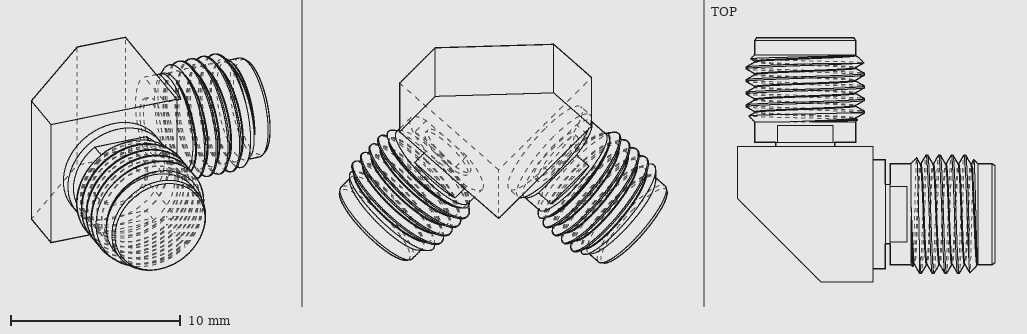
import cadquery as cq
import math


block_side = 8.0
corner_cut = 4.93
half_block = block_side / 2

flange_diameter = 6.44
flange_length = 0.71
neck_diameter = 3.5
neck_length_x = 0.29
neck_length_y = 0.23

barrel_diameter = 5.97
barrel_length = 6.18
barrel_radius = barrel_diameter / 2
mouth_chamfer_length = 0.18
mouth_chamfer_depth = 0.12
flat_length = 1.0
across_flats = 5.0

thread_diameter = 7.0
thread_pitch = 0.75
thread_start = 1.21
thread_length = 3.95
crest_width = thread_pitch / 8
flank_angle = 30
first_crest = 0.2
thread_radius = thread_diameter / 2
thread_height = thread_radius - barrel_radius


def cylinder(diameter, length, start=0):
    """Solid cylinder standing on the Z axis."""
    return cq.Workplane("XY").workplane(offset=start).circle(diameter / 2).extrude(length)


def make_helical_ridge():
    """Thread ridge wound around Z, overrunning both ends of the thread."""
    sink = 0.03
    foot_radius = barrel_radius - sink
    half_crest = crest_width / 2
    half_foot = half_crest + (thread_height + sink) * math.tan(math.radians(flank_angle))
    overrun_turns = 2
    ridge_start = thread_start + first_crest - overrun_turns * thread_pitch
    turns = math.ceil(thread_length / thread_pitch) + overrun_turns
    helix_base = cq.Vector(0, 0, ridge_start)
    helix = cq.Wire.makeHelix(thread_pitch, turns * thread_pitch, thread_radius, center=helix_base)
    profile = cq.Workplane("XZ").polyline(
        [
            (foot_radius, ridge_start - half_foot),
            (thread_radius, ridge_start - half_crest),
            (thread_radius, ridge_start + half_crest),
            (foot_radius, ridge_start + half_foot),
        ]
    ).close()
    return profile.sweep(cq.Workplane(obj=helix), isFrenet=True)


def make_thread_envelope():
    """Round solid with 45 degree conical ends that meet the barrel surface at the thread ends."""
    margin = 0.15
    cone_height = thread_height + 2 * margin
    low_end = thread_start - margin
    high_end = thread_start + thread_length + margin
    inner_radius = barrel_radius - margin
    outer_radius = thread_radius + margin
    profile = cq.Workplane("XZ").polyline(
        [
            (0, low_end),
            (inner_radius, low_end),
            (outer_radius, low_end + cone_height),
            (outer_radius, high_end - cone_height),
            (inner_radius, high_end),
            (0, high_end),
        ]
    ).close()
    return profile.revolve(360, (0, 0, 0), (0, 1, 0))


def make_connector():
    """Threaded barrel along +Z with its back face at Z = 0 and wrench flats facing +Y and -Y."""
    barrel = cylinder(barrel_diameter, barrel_length)
    barrel = barrel.faces(">Z").chamfer(mouth_chamfer_length, mouth_chamfer_depth)
    between_flats = cq.Workplane("XY").rect(thread_diameter, across_flats).extrude(flat_length)
    barrel = barrel.cut(cylinder(thread_diameter, flat_length).cut(between_flats))
    thread = make_helical_ridge().intersect(make_thread_envelope())
    return barrel.union(thread)


def make_block():
    """Cube with one vertical corner cut off, between the two plain sides."""
    cube = cq.Workplane("XY").box(block_side, block_side, block_side)
    return cube.edges("|Z and <X and <Y").chamfer(corner_cut)


def place(branch, plane):
    """Move a branch built along Z so that it stands on the given plane."""
    return cq.Workplane(obj=branch.val().moved(cq.Location(plane)))


connector = make_connector()

flange = cylinder(flange_diameter, flange_length)
neck_x = cylinder(neck_diameter, neck_length_x, flange_length)
branch_x = flange.union(neck_x).union(connector.translate((0, 0, flange_length + neck_length_x)))

neck_y = cylinder(neck_diameter, neck_length_y)
branch_y = neck_y.union(connector.translate((0, 0, neck_length_y)))

side_x = cq.Plane(origin=(half_block, 0, 0), xDir=(0, 1, 0), normal=(1, 0, 0))
side_y = cq.Plane(origin=(0, half_block, 0), xDir=(-1, 0, 0), normal=(0, 1, 0))

result = make_block().union(place(branch_x, side_x)).union(place(branch_y, side_y))